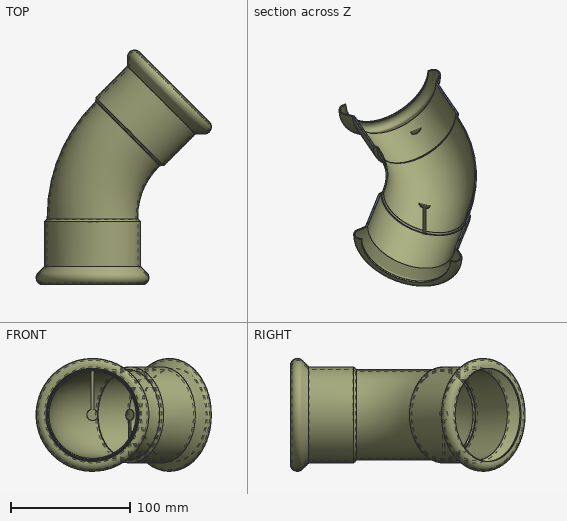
import cadquery as cq
import math

BEND_ANGLE = 45.0
BEND_RADIUS = 96.1
TUBE_OUTER_R = 76.0 / 2
TUBE_INNER_R = 73.0 / 2

SOCKET_LENGTH = 57.3
SOCKET_OUTER_R = 80.5 / 2
SOCKET_BORE_R = 76.6 / 2
STOP_DEPTH = 53.0
STOP_INNER_R = 75.0 / 2
TUBE_BORE_DEPTH = 54.5
CHAMFER_END_DEPTH = 55.3

BEAD_OUTER_R = 94.7 / 2
BEAD_ROUND_R = 6.0
BEAD_ROUND_END = 9.0
BEAD_END_DEPTH = 15.4
MOUTH_R = 78.2 / 2

BEAD_WALL = 1.48
LEAD_IN_R = 78.2 / 2
LEAD_IN_LENGTH = 1.0

MARKER_DISC_R = 4.7
MARKER_STEM_WIDTH = 2.8
MARKER_THICKNESS = 0.4

RIM_CENTRE_R = BEAD_OUTER_R - BEAD_ROUND_R
RIM_END_ANGLE = math.asin((BEAD_ROUND_END - BEAD_ROUND_R) / BEAD_ROUND_R)
RIM_END_R = RIM_CENTRE_R + BEAD_ROUND_R * math.cos(RIM_END_ANGLE)

GROOVE_ROUND_R = BEAD_ROUND_R - BEAD_WALL
GROOVE_OUTER_R = RIM_CENTRE_R + GROOVE_ROUND_R
GROOVE_ROUND_END = BEAD_ROUND_R + GROOVE_ROUND_R * math.sin(RIM_END_ANGLE)
GROOVE_ROUND_END_R = RIM_CENTRE_R + GROOVE_ROUND_R * math.cos(RIM_END_ANGLE)
CONE_SLOPE = (BEAD_END_DEPTH - BEAD_ROUND_END) / (RIM_END_R - SOCKET_OUTER_R)
GROOVE_END_DEPTH = GROOVE_ROUND_END + CONE_SLOPE * (GROOVE_ROUND_END_R - LEAD_IN_R)


def revolve_about_y(profile):
    return profile.close().revolve(360, (0, 0, 0), (0, 1, 0))


def at_far_end(body):
    """Copy a near-end body to the far mouth, turned over about an axis in the bend's plane."""
    flipped = body.rotate((0, 0, 0), (1, 0, 0), 180).translate((0, 2 * SOCKET_LENGTH, 0))
    bend_centre = (BEND_RADIUS, SOCKET_LENGTH, 0)
    bend_axis_end = (BEND_RADIUS, SOCKET_LENGTH, 1)
    return flipped.rotate(bend_centre, bend_axis_end, -BEND_ANGLE)


def make_marker():
    """Disc on the axis, carried by a stem that ends flush on the socket bore."""
    plane = cq.Workplane("XZ", origin=(0, STOP_DEPTH, 0))
    disc = plane.circle(MARKER_DISC_R).extrude(MARKER_THICKNESS)
    stem = (
        plane.center(0, SOCKET_BORE_R / 2)
        .rect(MARKER_STEM_WIDTH, SOCKET_BORE_R)
        .extrude(MARKER_THICKNESS)
    )
    bore = plane.circle(SOCKET_BORE_R).extrude(MARKER_THICKNESS)
    return disc.union(stem).intersect(bore)


def make_socket():
    """Socket with a rolled bead, an open seal groove and a pipe stop."""
    return revolve_about_y(
        cq.Workplane("XY")
        .moveTo(MOUTH_R, 0)
        .lineTo(RIM_CENTRE_R, 0)
        .threePointArc((BEAD_OUTER_R, BEAD_ROUND_R), (RIM_END_R, BEAD_ROUND_END))
        .lineTo(SOCKET_OUTER_R, BEAD_END_DEPTH)
        .lineTo(SOCKET_OUTER_R, STOP_DEPTH)
        .lineTo(TUBE_OUTER_R, CHAMFER_END_DEPTH)
        .lineTo(TUBE_OUTER_R, SOCKET_LENGTH)
        .lineTo(TUBE_INNER_R, SOCKET_LENGTH)
        .lineTo(TUBE_INNER_R, TUBE_BORE_DEPTH)
        .lineTo(STOP_INNER_R, STOP_DEPTH)
        .lineTo(SOCKET_BORE_R, STOP_DEPTH)
        .lineTo(SOCKET_BORE_R, GROOVE_END_DEPTH + LEAD_IN_LENGTH)
        .lineTo(LEAD_IN_R, GROOVE_END_DEPTH)
        .lineTo(GROOVE_ROUND_END_R, GROOVE_ROUND_END)
        .threePointArc((GROOVE_OUTER_R, BEAD_ROUND_R), (RIM_CENTRE_R, BEAD_WALL))
        .lineTo(MOUTH_R, BEAD_WALL)
    )


def make_bend():
    """Curved tube between the two sockets."""
    return (
        cq.Workplane("XZ", origin=(0, SOCKET_LENGTH, 0))
        .circle(TUBE_OUTER_R)
        .circle(TUBE_INNER_R)
        .revolve(BEND_ANGLE, (BEND_RADIUS, 0, 0), (BEND_RADIUS, -1, 0))
    )


def make_fitting():
    socket = make_socket()
    return make_bend().union(socket).union(at_far_end(socket))


fitting = make_fitting()
near_marker = make_marker()
markers = [near_marker, at_far_end(near_marker)]

result = cq.Compound.makeCompound([
    fitting.solids().val(),
    *[marker.solids().val() for marker in markers],
])